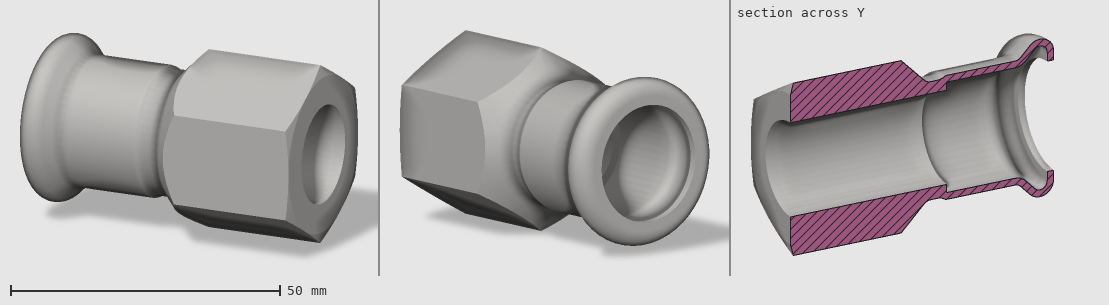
import cadquery as cq
import math

length = 56.0
hex_corner_diameter = 34.65

wall = 1.45
tube_radius = 25.0 / 2
neck_radius = 23.8 / 2
socket_radius = tube_radius - wall
bore_radius = 18.8 / 2

bead_outer_radius = 31.7 / 2
bead_arc = 2.95
bead_center_radius = bead_outer_radius - bead_arc
bead_fillet = 1.75

tube_end = 22.75
step_convex_length = 0.5
neck_start = 24.7
neck_end = 26.15
hex_fillet = 2.1
hex_start = 27.6
end_face_radius = 15.0
end_chamfer_length = 0.6

diagonal = math.sqrt(0.5)

bead_mid_angle = 110
fillet_mid_angle = -112.5


def arc_point(center, radius, degrees):
    """Point on a circle, with the angle measured from +X."""
    angle = math.radians(degrees)
    return (center[0] + radius * math.cos(angle), center[1] + radius * math.sin(angle))


def fillet_center_x(arc_radius, fillet_radius, end_radius):
    """X of the center of a fillet tangent to the 45 degree bead cone and to a cylinder."""
    center_radius = end_radius + fillet_radius
    tangent_reach = (arc_radius + fillet_radius) / diagonal
    return bead_arc + tangent_reach - (center_radius - bead_center_radius)


def outer_body():
    """Bead, tube, neck and the cone that trims the hexagon, as one solid of revolution."""
    bead_center = (bead_arc, bead_center_radius)
    fillet_x = fillet_center_x(bead_arc, bead_fillet, tube_radius)
    fillet_center = (fillet_x, tube_radius + bead_fillet)

    drop = tube_radius - neck_radius
    run = neck_start - tube_end
    step_mid = (tube_end + step_convex_length, tube_radius - drop * step_convex_length / run)

    hex_fillet_center = (neck_end, neck_radius + hex_fillet)
    cone_start = arc_point(hex_fillet_center, hex_fillet, -45)
    corner_radius = hex_corner_diameter / 2
    cone_end_x = cone_start[0] + corner_radius - cone_start[1]

    profile = (
        cq.Workplane("XY")
        .moveTo(0, 0)
        .lineTo(0, bead_center_radius)
        .threePointArc(
            arc_point(bead_center, bead_arc, bead_mid_angle), arc_point(bead_center, bead_arc, 45)
        )
        .lineTo(*arc_point(fillet_center, bead_fillet, -135))
        .threePointArc(arc_point(fillet_center, bead_fillet, fillet_mid_angle), (fillet_x, tube_radius))
        .lineTo(tube_end, tube_radius)
        .tangentArcPoint(step_mid, relative=False)
        .tangentArcPoint((neck_start, neck_radius), relative=False)
        .lineTo(neck_end, neck_radius)
        .threePointArc(arc_point(hex_fillet_center, hex_fillet, -67.5), cone_start)
        .lineTo(cone_end_x, corner_radius)
        .lineTo(length - end_chamfer_length, corner_radius)
        .lineTo(length, end_face_radius)
        .lineTo(length, 0)
        .close()
    )
    return profile.revolve(360, (0, 0, 0), (1, 0, 0))


def hexagon_envelope():
    """Round stock up to the cone, then a hexagon with corners on +Z and -Z."""
    stock = cq.Workplane("YZ").circle(hex_corner_diameter / 2).extrude(hex_start)
    hexagon = (
        cq.Workplane("YZ")
        .workplane(offset=hex_start)
        .transformed(rotate=(0, 0, 90))
        .polygon(6, hex_corner_diameter)
        .extrude(length - hex_start)
    )
    return stock.union(hexagon)


def socket_cutter():
    """Tube socket with the seal groove inside the bead, ending at a flat stop."""
    groove_arc = bead_arc - wall
    groove_center = (bead_arc, bead_center_radius)
    inner_fillet = bead_fillet + wall
    fillet_x = fillet_center_x(groove_arc, inner_fillet, socket_radius)
    fillet_center = (fillet_x, socket_radius + inner_fillet)
    profile = (
        cq.Workplane("XY")
        .moveTo(0, 0)
        .lineTo(0, socket_radius)
        .lineTo(wall, socket_radius)
        .lineTo(wall, bead_center_radius)
        .threePointArc(
            arc_point(groove_center, groove_arc, bead_mid_angle), arc_point(groove_center, groove_arc, 45)
        )
        .lineTo(*arc_point(fillet_center, inner_fillet, -135))
        .threePointArc(arc_point(fillet_center, inner_fillet, fillet_mid_angle), (fillet_x, socket_radius))
        .lineTo(tube_end, socket_radius)
        .lineTo(tube_end, 0)
        .close()
    )
    return profile.revolve(360, (0, 0, 0), (1, 0, 0))


through_bore = cq.Workplane("YZ").circle(bore_radius).extrude(length)

result = outer_body().intersect(hexagon_envelope()).cut(socket_cutter()).cut(through_bore)